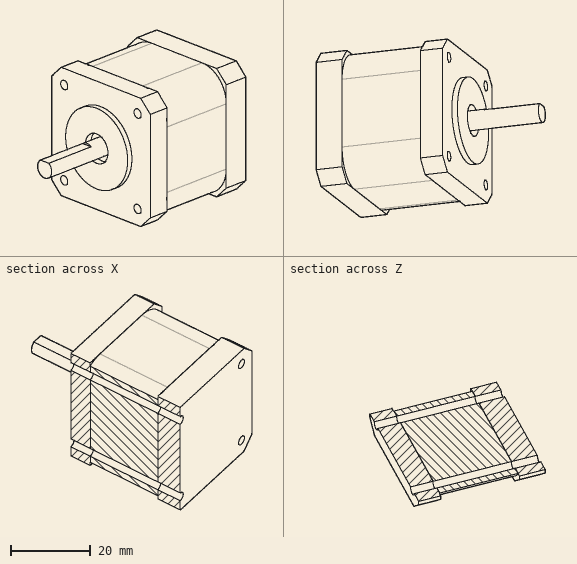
import cadquery as cq

frame_width = 35.0
cap_corner_chamfer = 3.4
stator_corner_radius = 8.6

rear_cap_length = 7.0
stator_length = 21.0
front_cap_length = 6.0
pilot_height = 1.5
shaft_reach = 20.0

pilot_diameter = 22.0
recess_diameter = 8.0
recess_depth = 2.0

shaft_diameter = 5.0
flat_length = 15.0
flat_height = 2.0

bolt_spacing = 26.0
bolt_hole_diameter = 2.5

total_length = rear_cap_length + stator_length + front_cap_length + shaft_reach
tip_y = -total_length / 2
mounting_face_y = tip_y + shaft_reach
pilot_face_y = mounting_face_y - pilot_height
recess_floor_y = pilot_face_y + recess_depth
stator_front_y = mounting_face_y + front_cap_length
stator_rear_y = stator_front_y + stator_length


def plane_at(y):
    """Sketch plane across the motor axis; extruding from it goes toward +Y."""
    return cq.Workplane("XZ", origin=(0, y, 0))


def disc(diameter, start_y, end_y):
    """Cylinder on the motor axis between two stations."""
    return plane_at(start_y).circle(diameter / 2).extrude(start_y - end_y)


def square_block(start_y, length):
    """Plain square frame block."""
    return plane_at(start_y).rect(frame_width, frame_width).extrude(-length)


def drill_bolt_holes(block, start_y, length):
    """Cut the four bolt holes through a frame block."""
    holes = (
        plane_at(start_y)
        .rect(bolt_spacing, bolt_spacing, forConstruction=True)
        .vertices()
        .circle(bolt_hole_diameter / 2)
        .extrude(-length)
    )
    return block.cut(holes)


def make_cap(start_y, length):
    """Square end cap with chamfered corners and bolt holes."""
    block = square_block(start_y, length).edges("|Y").chamfer(cap_corner_chamfer)
    return drill_bolt_holes(block, start_y, length)


def make_stator():
    """Middle block with rounded corners and bolt holes."""
    block = square_block(stator_front_y, stator_length).edges("|Y").fillet(stator_corner_radius)
    return drill_bolt_holes(block, stator_front_y, stator_length)


def make_shaft(root_y):
    """Round shaft with a flat along its outer end."""
    shaft = disc(shaft_diameter, tip_y, root_y)
    flat_cut = cq.Workplane("XY", origin=(0, tip_y, flat_height)).box(
        shaft_diameter, flat_length, shaft_diameter, centered=(True, False, False)
    )
    return shaft.cut(flat_cut)


def make_front_cap():
    """Front cap with its pilot boss, the recess in it and the shaft rising from the recess floor."""
    cap = make_cap(mounting_face_y, front_cap_length)
    cap = cap.union(disc(pilot_diameter, pilot_face_y, mounting_face_y))
    cap = cap.cut(disc(recess_diameter, pilot_face_y, recess_floor_y))
    return cap.union(make_shaft(recess_floor_y))


rear_cap = make_cap(stator_rear_y, rear_cap_length)
stator = make_stator()
front_cap = make_front_cap()

result = cq.Compound.makeCompound([rear_cap.val(), stator.val(), front_cap.val()])